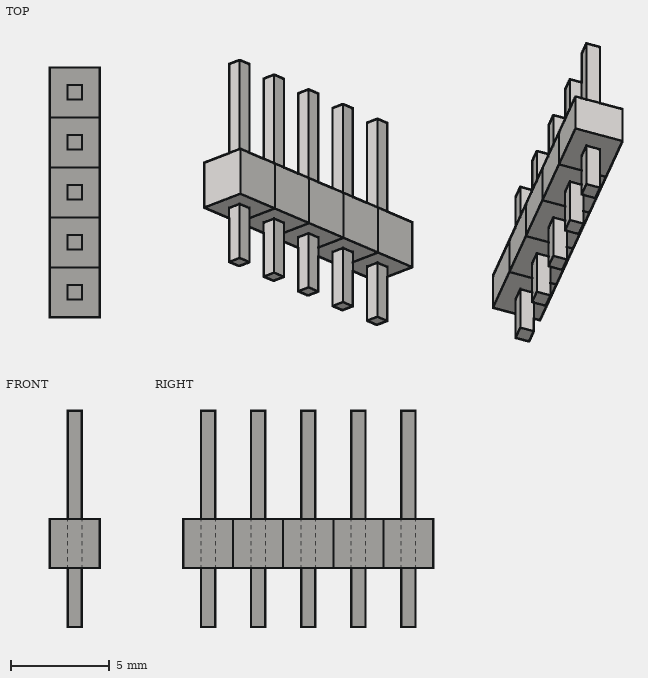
import cadquery as cq

pin_count = 5
pitch = 2.54
housing_height = 2.5
pin_width = 0.735
pin_above = 5.5
pin_below = 3.0
pin_length = pin_below + housing_height + pin_above


def make_housing(y):
    """Square block resting on Z = 0, with a through hole that fits its pin."""
    block = cq.Workplane("XY").center(0, y).rect(pitch, pitch).extrude(housing_height)
    hole = cq.Workplane("XY").center(0, y).rect(pin_width, pin_width).extrude(housing_height)
    return block.cut(hole)


def make_pin(y):
    """Straight square pin running through the housing."""
    base = cq.Workplane("XY").workplane(offset=-pin_below)
    return base.center(0, y).rect(pin_width, pin_width).extrude(pin_length)


row_start = -(pin_count - 1) * pitch / 2
bodies = []
for index in range(pin_count):
    y = row_start + index * pitch
    bodies.append(make_housing(y).val())
    bodies.append(make_pin(y).val())

result = cq.Compound.makeCompound(bodies)